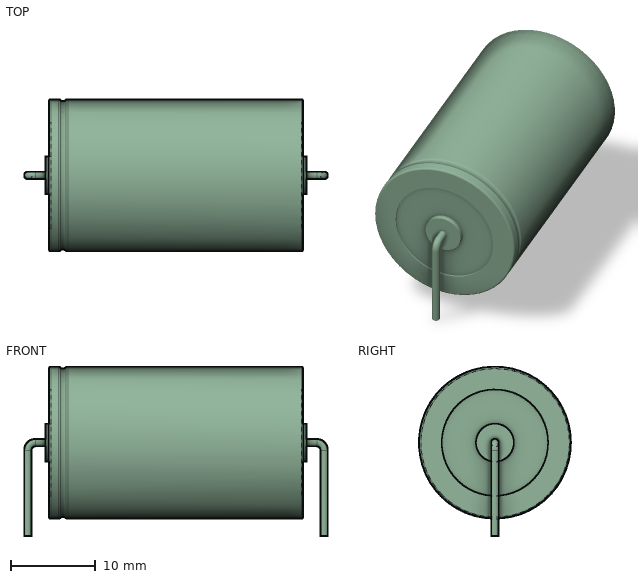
import cadquery as cq
import math

can_length = 30.0
can_radius = 18.0 / 2
rim_fillet = 0.2

groove_center_x = -can_length / 2 + 1.65
groove_half_width = 0.32
shoulder_width = 0.2
groove_depth = 0.2

recess_diameter = 12.55
recess_depth = 0.2
bushing_diameter = 4.5
bushing_standoff = 0.43

lead_radius = 0.9 / 2
lead_span = 35.9
lead_bend_radius = 0.9
overall_height = 20.05
lead_bottom_z = can_radius - overall_height


def x_cylinder(start_x, length, radius):
    """Solid cylinder on the X axis, running toward +X from start_x."""
    return cq.Workplane("YZ").workplane(offset=start_x).circle(radius).extrude(length)


def make_groove():
    """Ring to remove: an S-curve on each side of a concave bottom arc."""
    shoulder_x = groove_half_width + shoulder_width
    shoulder_drop = groove_depth * shoulder_width / shoulder_x
    shoulder_radius = (shoulder_width**2 + shoulder_drop**2) / (2 * shoulder_drop)
    half_angle = math.asin(shoulder_width / shoulder_radius) / 2
    arc_x = shoulder_x - shoulder_radius * math.sin(half_angle)
    arc_r = can_radius - shoulder_radius * (1 - math.cos(half_angle))
    meeting_r = can_radius - shoulder_drop
    section = (
        cq.Workplane("XY", origin=(groove_center_x, 0, 0))
        .moveTo(-shoulder_x, can_radius)
        .threePointArc((-arc_x, arc_r), (-groove_half_width, meeting_r))
        .threePointArc((0, can_radius - groove_depth), (groove_half_width, meeting_r))
        .threePointArc((arc_x, arc_r), (shoulder_x, can_radius))
        .lineTo(shoulder_x, can_radius + groove_depth)
        .lineTo(-shoulder_x, can_radius + groove_depth)
        .close()
    )
    return section.revolve(360, (0, 0, 0), (1, 0, 0))


def make_can():
    """Cylinder with rounded rims, end recesses and the rolled groove."""
    can = x_cylinder(-can_length / 2, can_length, can_radius)
    can = can.faces("<X or >X").edges().fillet(rim_fillet)
    for recess_x in (-can_length / 2, can_length / 2 - recess_depth):
        can = can.cut(x_cylinder(recess_x, recess_depth, recess_diameter / 2))
    return can.cut(make_groove())


def make_lead():
    """Wire leaving the +X end on the axis and bending down."""
    start_x = can_length / 2
    drop_x = lead_span / 2 - lead_radius
    bend_x = drop_x - lead_bend_radius
    bend_mid = lead_bend_radius * math.sqrt(0.5)
    path = (
        cq.Workplane("XZ")
        .moveTo(start_x, 0)
        .lineTo(bend_x, 0)
        .threePointArc(
            (bend_x + bend_mid, bend_mid - lead_bend_radius),
            (drop_x, -lead_bend_radius),
        )
        .lineTo(drop_x, lead_bottom_z)
    )
    return cq.Workplane("YZ").workplane(offset=start_x).circle(lead_radius).sweep(path)


bushing_length = can_length + 2 * bushing_standoff
bushing = x_cylinder(-bushing_length / 2, bushing_length, bushing_diameter / 2)

lead = make_lead()
result = make_can().union(bushing).union(lead).union(lead.mirror("YZ"))